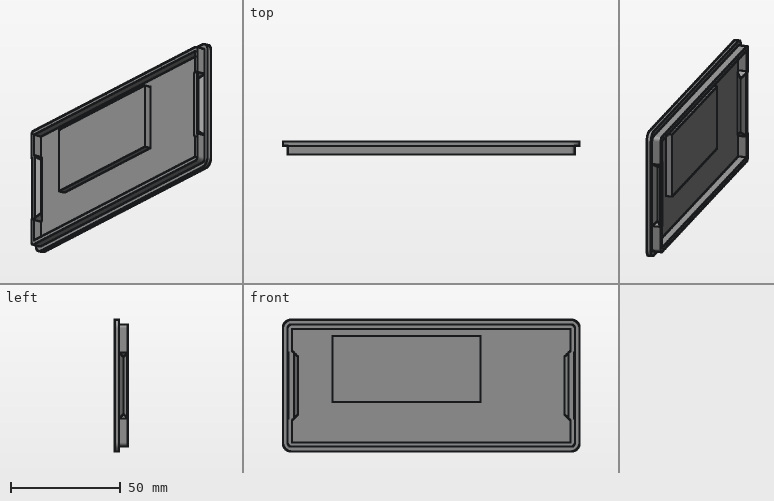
import cadquery as cq
import math

LENGTH = 135.0
HEIGHT = 60.0
PLATE_THICKNESS = 2.0
PLATE_CORNER_RADIUS = 4.0

RIM_INSET = 2.2
RIM_WALL = 2.0
RIM_DEPTH = 4.0
RIM_LENGTH = LENGTH - 2 * RIM_INSET
RIM_HEIGHT = HEIGHT - 2 * RIM_INSET
RIM_CORNER_RADIUS = PLATE_CORNER_RADIUS - RIM_INSET
CAVITY_LENGTH = RIM_LENGTH - 2 * RIM_WALL
CAVITY_HEIGHT = RIM_HEIGHT - 2 * RIM_WALL

PAD_LENGTH = LENGTH / 2
PAD_HEIGHT = HEIGHT / 2
PAD_DEPTH = 3.0
PAD_CENTER_X = -11.25
PAD_CENTER_Z = 7.5

GROOVE_DEPTH = RIM_DEPTH / 2
GROOVE_HALF_LENGTH = 15.0
LAND_SETBACK = 0.4
FLANK_SHIFT = RIM_WALL * (math.sqrt(2) - 1)
RIDGE_DEPTH = GROOVE_DEPTH + FLANK_SHIFT
RIDGE_HALF_LENGTH = GROOVE_HALF_LENGTH + FLANK_SHIFT


def block(length, height, y_start, y_end, center_x=0.0, center_z=0.0):
    """Box spanning y_start to y_end, centred on the given X and Z."""
    return (
        cq.Workplane("XY")
        .box(length, y_end - y_start, height)
        .translate((center_x, (y_start + y_end) / 2, center_z))
    )


def hip_roof(base_x, depth, half_length):
    """45-degree hip roof on the plane X = base_x, rising to +X, limited to the rim depth."""
    ridge_y = -RIM_DEPTH / 2
    cross_section = (
        cq.Workplane("XY")
        .polyline([
            (base_x, ridge_y - depth),
            (base_x + depth, ridge_y),
            (base_x, ridge_y + depth),
        ])
        .close()
        .extrude(half_length, both=True)
    )
    side_profile = (
        cq.Workplane("XZ")
        .polyline([
            (base_x, -half_length),
            (base_x + depth, depth - half_length),
            (base_x + depth, half_length - depth),
            (base_x, half_length),
        ])
        .close()
        .extrude(RIM_DEPTH)
    )
    return cross_section.intersect(side_profile)


def on_both_ends(left_shape):
    """The left-end shape together with its mirror image at the right end."""
    return left_shape.union(left_shape.mirror("YZ"))


def edge_land():
    """Shallow cut that sets back the left wall face between the groove and the free edge."""
    return block(
        LAND_SETBACK,
        2 * GROOVE_HALF_LENGTH,
        -RIM_DEPTH,
        LAND_SETBACK - RIM_DEPTH,
        (LAND_SETBACK - RIM_LENGTH) / 2,
    )


def make_plate():
    plate = block(LENGTH, HEIGHT, 0, PLATE_THICKNESS)
    return plate.edges("|Y").fillet(PLATE_CORNER_RADIUS)


def make_rim():
    outer = block(RIM_LENGTH, RIM_HEIGHT, -RIM_DEPTH, 0).edges("|Y").fillet(RIM_CORNER_RADIUS)
    rim = outer.cut(block(CAVITY_LENGTH, CAVITY_HEIGHT, -RIM_DEPTH, 0))
    ridge = hip_roof(-CAVITY_LENGTH / 2, RIDGE_DEPTH, RIDGE_HALF_LENGTH)
    groove = hip_roof(-RIM_LENGTH / 2, GROOVE_DEPTH, GROOVE_HALF_LENGTH)
    groove = groove.union(edge_land())
    return rim.union(on_both_ends(ridge)).cut(on_both_ends(groove))


def make_pad():
    return block(PAD_LENGTH, PAD_HEIGHT, -PAD_DEPTH, 0, PAD_CENTER_X, PAD_CENTER_Z)


result = make_plate().union(make_rim()).union(make_pad())